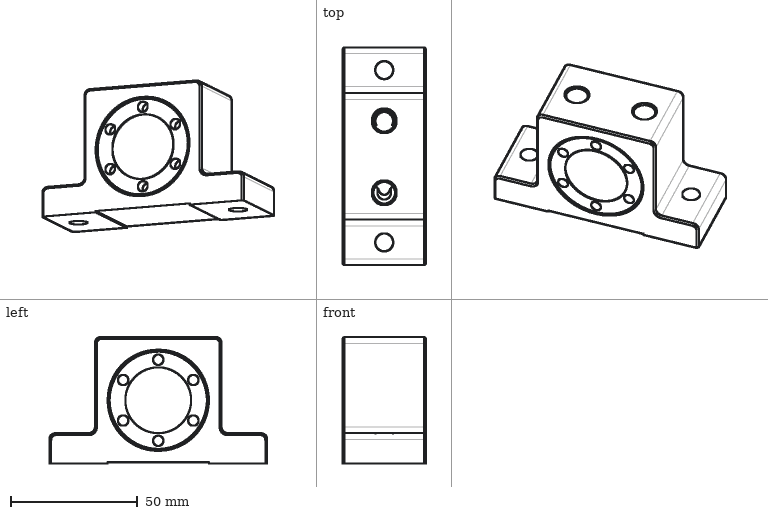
import cadquery as cq
import math

WIDTH = 33.0
BASE_LENGTH = 86.0
BLOCK_LENGTH = 50.0
HEIGHT = 50.0
FOOT_HEIGHT = 12.0
PROFILE_RADIUS = 2.5
EDGE_CHAMFER = 0.75

RELIEF_LENGTH = 40.0
RELIEF_DEPTH = 0.5

MOUNT_DIAMETER = 7.0
MOUNT_SPACING = 68.0

BORE_AXIS_HEIGHT = HEIGHT / 2
COVER_RADIUS = 19.5
BORE_CHAMFER = 0.5
COVER_SETBACK = 0.2
COVER_CHAMFER = BORE_CHAMFER - COVER_SETBACK
HUB_RADIUS = 13.0
HUB_RECESS = 0.4
COVER_HOLE_COUNT = 6
COVER_HOLE_DIAMETER = 4.1
COVER_HOLE_CIRCLE_RADIUS = 16.0
COVER_HOLE_DEPTH = 5.0

PORT_SPACING = 28.4
PORT_MIDPOINT_Y = -0.2
PORT_DIAMETER = 8.57
PORT_DEPTH = 9.5
PORT_MOUTH_DIAMETER = 9.8
DRILL_HALF_ANGLE = math.radians(59)
OUTLET_DIAMETER = 7.0
INLET_SEAT_DIAMETER = 5.4
INLET_TIP_DEPTH = 3.5


def make_housing():
    half_base = BASE_LENGTH / 2
    half_block = BLOCK_LENGTH / 2
    outline = [
        (-half_base, 0),
        (half_base, 0),
        (half_base, FOOT_HEIGHT),
        (half_block, FOOT_HEIGHT),
        (half_block, HEIGHT),
        (-half_block, HEIGHT),
        (-half_block, FOOT_HEIGHT),
        (-half_base, FOOT_HEIGHT),
    ]
    body = cq.Workplane("YZ").polyline(outline).close().extrude(WIDTH / 2, both=True)
    body = body.edges("|X").edges("not <Z").fillet(PROFILE_RADIUS)
    return body.faces("<X or >X").edges("not <Z").chamfer(EDGE_CHAMFER)


def make_bottom_relief():
    return cq.Workplane("XY").box(WIDTH, RELIEF_LENGTH, RELIEF_DEPTH, centered=(True, True, False))


def make_mount_holes():
    half = MOUNT_SPACING / 2
    return cq.Workplane("XY").pushPoints([(0, -half), (0, half)]).circle(MOUNT_DIAMETER / 2).extrude(HEIGHT)


def make_cover_cut():
    """Chamfered groove, set back cover face, hub recess and screw holes of the -X side."""
    face = -WIDTH / 2
    cover_face = face + COVER_SETBACK
    hub_face = cover_face + HUB_RECESS
    section = [
        (face, 0),
        (face, COVER_RADIUS + BORE_CHAMFER),
        (face + BORE_CHAMFER, COVER_RADIUS),
        (cover_face, COVER_RADIUS - COVER_CHAMFER),
        (cover_face, HUB_RADIUS),
        (hub_face, HUB_RADIUS),
        (hub_face, 0),
    ]
    groove = cq.Workplane("XY").polyline(section).close().revolve(360, (0, 0, 0), (1, 0, 0))
    groove = groove.translate((0, 0, BORE_AXIS_HEIGHT))
    holes = (
        cq.Workplane("YZ", origin=(face, 0, BORE_AXIS_HEIGHT))
        .polarArray(COVER_HOLE_CIRCLE_RADIUS, 90, 360, COVER_HOLE_COUNT)
        .circle(COVER_HOLE_DIAMETER / 2)
        .extrude(COVER_SETBACK + COVER_HOLE_DEPTH)
    )
    return groove.union(holes)


def make_port(y, lower_section):
    """Chamfered port bore; lower_section holds its (radius, z) points down to the axis."""
    mouth_chamfer = (PORT_MOUTH_DIAMETER - PORT_DIAMETER) / 2
    section = [
        (0, HEIGHT),
        (PORT_MOUTH_DIAMETER / 2, HEIGHT),
        (PORT_DIAMETER / 2, HEIGHT - mouth_chamfer),
        (PORT_DIAMETER / 2, HEIGHT - PORT_DEPTH),
    ] + lower_section
    port = cq.Workplane("XZ").polyline(section).close().revolve(360, (0, 0, 0), (0, 1, 0))
    return port.translate((0, y, 0))


def drill_cone_end(diameter):
    """Height at which the drill cone below the port bore narrows to a diameter."""
    return HEIGHT - PORT_DEPTH - (PORT_DIAMETER - diameter) / 2 / math.tan(DRILL_HALF_ANGLE)


def make_ports():
    seat = drill_cone_end(INLET_SEAT_DIAMETER)
    inlet = make_port(
        PORT_MIDPOINT_Y - PORT_SPACING / 2,
        [
            (INLET_SEAT_DIAMETER / 2, seat),
            (0, seat - INLET_TIP_DEPTH),
        ],
    )
    outlet_radius = OUTLET_DIAMETER / 2
    outlet = make_port(
        PORT_MIDPOINT_Y + PORT_SPACING / 2,
        [
            (outlet_radius, drill_cone_end(OUTLET_DIAMETER)),
            (outlet_radius, BORE_AXIS_HEIGHT),
            (0, BORE_AXIS_HEIGHT),
        ],
    )
    ring = cq.Workplane("YZ").center(0, BORE_AXIS_HEIGHT).circle(COVER_RADIUS)
    ring = ring.extrude(WIDTH / 2, both=True)
    return inlet.union(outlet).cut(ring)


cover_cut = make_cover_cut()
result = (
    make_housing()
    .cut(make_bottom_relief())
    .cut(make_mount_holes())
    .cut(cover_cut)
    .cut(cover_cut.mirror("YZ"))
    .cut(make_ports())
)